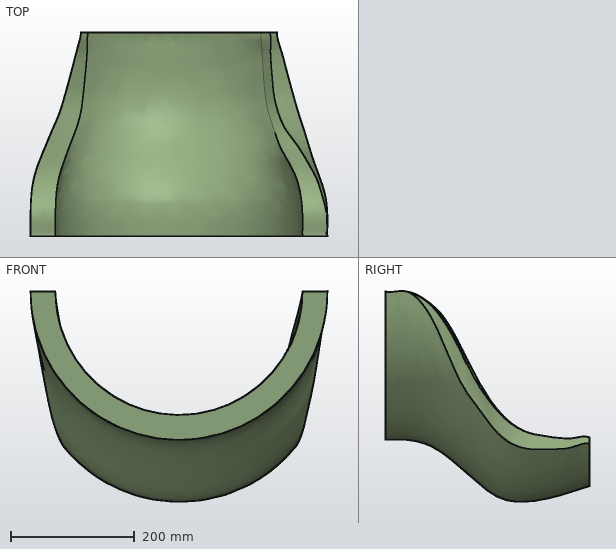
import cadquery as cq
import math

outer_radius = 240.0
wall = 40.5
inner_radius = outer_radius - wall
length = 330.0
straight_length = 33.5
ridge_inset = 1.5

front_profile = (
    (outer_radius, 0.0),
    (inner_radius, 0.0),
    -outer_radius,
    (outer_radius, 0.0),
    (outer_radius - ridge_inset, 0.0),
    (inner_radius, 0.0),
)

sections = [
    (0.0, *front_profile),
    (straight_length / 2, *front_profile),
    (straight_length, *front_profile),
    (62.5, (239.0, -13.5), (199.0, -12.5), -246.0, (237.2, -24.0), (232.5, -12.5), (197.5, -12.5)),
    (89.0, (236.0, -39.5), (195.5, -35.0), -259.5, (230.0, -72.0), (224.5, -40.5), (191.5, -36.5)),
    (120.0, (226.5, -97.0), (186.5, -85.5), -284.0, (218.5, -144.0), (208.0, -93.5), (177.0, -91.2)),
    (149.0, (214.5, -161.5), (176.0, -142.0), -309.0, (209.5, -187.5), (190.0, -149.5), (162.0, -163.5)),
    (175.5, (203.5, -210.5), (165.5, -184.0), -329.0, (201.0, -222.5), (171.0, -186.5), (152.5, -201.5)),
    (201.5, (192.5, -240.0), (158.5, -212.0), -339.0, (192.5, -245.0), (160.0, -212.8), (144.0, -228.0)),
    (230.5, (184.0, -253.5), (154.5, -228.0), -340.0, (184.5, -254.5), (153.0, -228.0), (139.0, -244.0)),
    (254.5, (177.0, -255.0), (152.0, -233.5), -336.5, (177.5, -255.5), (151.0, -233.5), (136.5, -248.5)),
    (278.5, (171.0, -255.0), (150.0, -237.0), -331.0, (171.5, -255.0), (149.0, -237.0), (135.0, -251.0)),
    (302.5, (164.5, -251.5), (148.5, -237.2), -323.5, (164.5, -251.5), (148.0, -237.2), (133.5, -251.0)),
    (length, (158.5, -246.5), (147.0, -236.5), -315.0, (158.5, -246.5), (147.0, -236.5), (132.0, -250.0)),
]


def section_wire(y, left_outer, left_inner, outer_bottom, right_outer, ridge, right_inner):
    """Closed arc-shaped section whose bottom is as thick as its left rim."""
    thickness = math.dist(left_outer, left_inner)
    outer_start = cq.Vector(-left_outer[0], y, left_outer[1])
    outer_low = cq.Vector(0, y, outer_bottom)
    outer_end = cq.Vector(right_outer[0], y, right_outer[1])
    ridge_point = cq.Vector(ridge[0], y, ridge[1])
    inner_start = cq.Vector(right_inner[0], y, right_inner[1])
    inner_low = cq.Vector(0, y, outer_bottom + thickness)
    inner_end = cq.Vector(-left_inner[0], y, left_inner[1])
    return cq.Wire.assembleEdges([
        cq.Edge.makeThreePointArc(outer_start, outer_low, outer_end),
        cq.Edge.makeLine(outer_end, ridge_point),
        cq.Edge.makeLine(ridge_point, inner_start),
        cq.Edge.makeThreePointArc(inner_start, inner_low, inner_end),
        cq.Edge.makeLine(inner_end, outer_start),
    ])


trough = cq.Solid.makeLoft([section_wire(*section) for section in sections])
result = cq.Workplane("XY").newObject([trough])